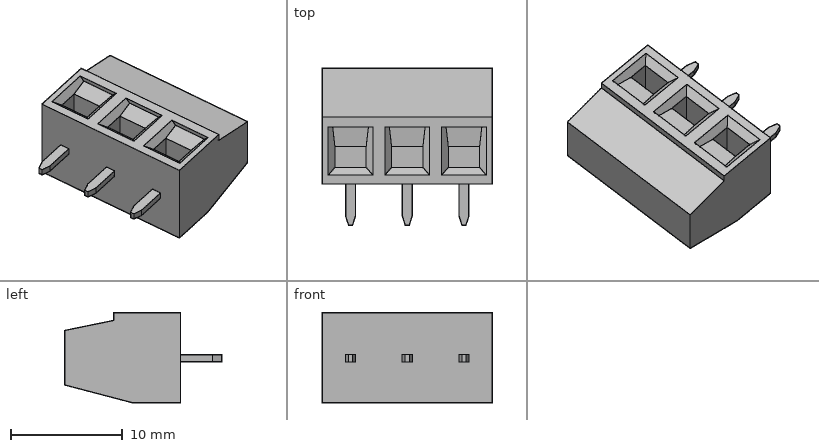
import cadquery as cq

pole_count = 3
pitch = 5.08
body_length = pole_count * pitch
body_depth = 10.4
body_height = 8.1
ledge_depth = 6.0
step_height = 0.7
back_top_drop = 1.6
back_bottom_rise = 1.6
underside_depth = 4.3

mouth_width = 4.0
mouth_front = 0.8
mouth_back = 5.1
throat_width = 2.8
throat_front = 1.5
throat_back = 3.35
funnel_depth = 0.6
back_wall_depth = 0.4
pocket_depth = 4.0

pin_length = 3.7
pin_width = 0.9
pin_thickness = 0.63
pin_height = 4.0
pin_tip_length = 0.83
pin_tip_width = 0.36


def make_body():
    """Housing side outline in the YZ plane, extruded along X."""
    outline = [
        (0, 0),
        (underside_depth, 0),
        (body_depth, back_bottom_rise),
        (body_depth, body_height - back_top_drop),
        (ledge_depth, body_height - step_height),
        (ledge_depth, body_height),
        (0, body_height),
    ]
    return cq.Workplane("YZ").polyline(outline).close().extrude(body_length / 2, both=True)


def make_pocket(x):
    """Cutter: a funnel sloping in on all four sides, then a straight throat."""
    funnel_floor = body_height - funnel_depth
    front_outline = [
        (x - mouth_width / 2, body_height),
        (x + mouth_width / 2, body_height),
        (x + throat_width / 2, funnel_floor),
        (x - throat_width / 2, funnel_floor),
    ]
    sides = cq.Workplane("XZ").polyline(front_outline).close().extrude(-mouth_back)

    side_outline = [
        (mouth_front, body_height),
        (throat_front, funnel_floor),
        (throat_back, funnel_floor),
        (mouth_back, body_height - back_wall_depth),
        (mouth_back, body_height),
    ]
    slopes = (
        cq.Workplane("YZ", origin=(x, 0, 0))
        .polyline(side_outline)
        .close()
        .extrude(mouth_width / 2, both=True)
    )

    throat = cq.Workplane("XY").box(
        throat_width,
        throat_back - throat_front,
        pocket_depth - funnel_depth,
        centered=(True, False, False),
    ).translate((x, throat_front, body_height - pocket_depth))
    return sides.intersect(slopes).union(throat)


def make_pin(x):
    """Flat pin whose sides narrow toward the tip."""
    shoulder_y = pin_tip_length - pin_length
    outline = [
        (x - pin_width / 2, 0),
        (x - pin_width / 2, shoulder_y),
        (x - pin_tip_width / 2, -pin_length),
        (x + pin_tip_width / 2, -pin_length),
        (x + pin_width / 2, shoulder_y),
        (x + pin_width / 2, 0),
    ]
    return (
        cq.Workplane("XY", origin=(0, 0, pin_height))
        .polyline(outline)
        .close()
        .extrude(pin_thickness / 2, both=True)
    )


result = make_body()
for pole in range(pole_count):
    pole_x = (pole - (pole_count - 1) / 2) * pitch
    result = result.cut(make_pocket(pole_x)).union(make_pin(pole_x))